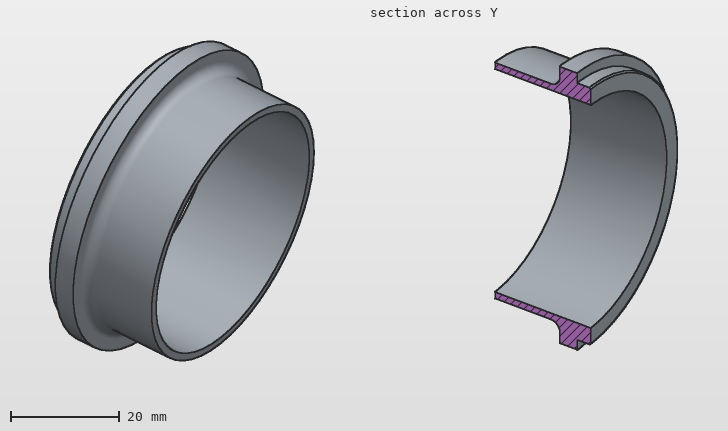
import cadquery as cq

total_length = 21.5

bore_diameter = 48.6
neck_diameter = 51.6
spigot_diameter = 56.2
flange_diameter = 60.5

spigot_length = 3.0
flange_thickness = 4.0
neck_fillet_radius = 2.0
spigot_chamfer = 0.3

flange_start = spigot_length
flange_end = flange_start + flange_thickness
neck_length = total_length - flange_end


def disc(start, length, diameter):
    """Solid cylinder along X, beginning at the given X position."""
    return cq.Workplane("YZ", origin=(start, 0, 0)).circle(diameter / 2).extrude(length)


def make_spigot():
    """Locating spigot with a small chamfer around its free edge."""
    spigot = disc(0, spigot_length, spigot_diameter)
    return spigot.faces("<X").edges().chamfer(spigot_chamfer)


def make_flange_and_neck():
    """Flange blended into the tubular neck by a concave fillet."""
    flange = disc(flange_start, flange_thickness, flange_diameter)
    body = flange.union(disc(flange_end, neck_length, neck_diameter))
    neck_root = body.faces(">X[-2]").edges(cq.selectors.RadiusNthSelector(0))
    return neck_root.fillet(neck_fillet_radius)


bore = disc(0, total_length, bore_diameter)
result = make_spigot().union(make_flange_and_neck()).cut(bore)